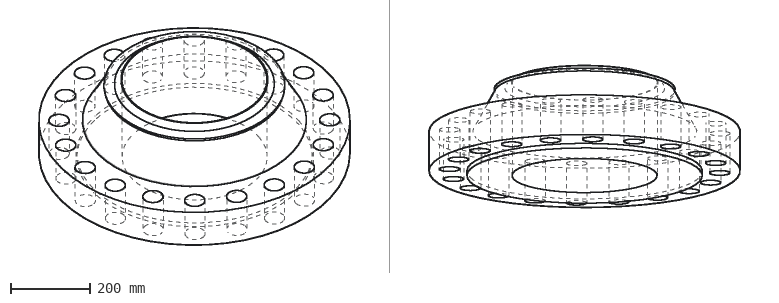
import cadquery as cq
import math

flange_radius = 393.5
total_height = 242.0

raised_face_radius = 297.5
raised_face_height = 12.0
flange_thickness = 103.0
flange_top = raised_face_height + flange_thickness

hub_base_radius = 283.0
hub_step_radial = 1.5
hub_step_height = 2.0
hub_top_radius = 227.5
hub_top = 217.0

shoulder_radius = 229.0
shoulder_edge = 224.0
bevel_root_height = 228.0

bevel_outer_radius = 202.0
bore_radius = 183.5
land_width = 2.0

bolt_count = 20
bolt_circle_radius = 342.5
bolt_hole_diameter = 51.0

pin_hole_angle = 90 + 180 / bolt_count
pin_mouth_diameter = 12.0
pin_mouth_depth = 2.0
pin_hole_diameter = 8.0
pin_hole_depth = 24.0


def flange_body():
    """Revolve the half section, bore included, about the Z axis."""
    section = [
        (bore_radius, 0),
        (raised_face_radius, 0),
        (raised_face_radius, raised_face_height),
        (flange_radius, raised_face_height),
        (flange_radius, flange_top),
        (hub_base_radius, flange_top),
        (hub_base_radius - hub_step_radial, flange_top + hub_step_height),
        (hub_top_radius, hub_top),
        (shoulder_radius, shoulder_edge),
        (bevel_outer_radius, bevel_root_height),
        (bore_radius + land_width, total_height),
        (bore_radius, total_height),
    ]
    return cq.Workplane("XZ").polyline(section).close().revolve(360, (0, 0), (0, 1))


def bolt_holes():
    """Through holes evenly spaced on the bolt circle, one of them on the X axis."""
    return (
        cq.Workplane("XY")
        .polarArray(bolt_circle_radius, 0, 360, bolt_count)
        .circle(bolt_hole_diameter / 2)
        .extrude(flange_top)
    )


def pin_hole():
    """Stepped blind hole on the bolt circle, sunk from the flange's upper face."""
    angle = math.radians(pin_hole_angle)
    x = bolt_circle_radius * math.cos(angle)
    y = bolt_circle_radius * math.sin(angle)
    mouth_plane = cq.Workplane("XY", origin=(x, y, flange_top))
    mouth = mouth_plane.circle(pin_mouth_diameter / 2).extrude(-pin_mouth_depth)
    shaft = mouth_plane.circle(pin_hole_diameter / 2).extrude(-pin_hole_depth)
    return mouth.union(shaft)


result = flange_body().cut(bolt_holes()).cut(pin_hole())